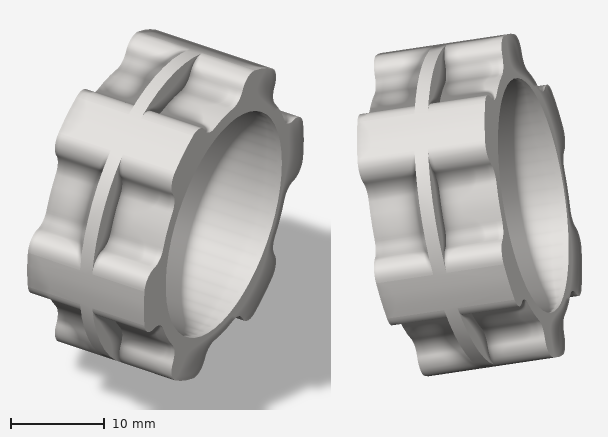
import cadquery as cq
import math

outer_radius = 17.45
bore_radius = 12.68
ring_width = 14.28

pocket_count = 6
floor_radius = 14.25
blend_radius = 2.03
floor_half_angle = math.radians(8.2)
rib_width = 1.5
pocket_width = (ring_width - rib_width) / 2
cutter_clearance = 1.75

floor_blend_distance = floor_radius + blend_radius
rim_blend_distance = outer_radius - blend_radius

blend_angle = math.acos(
    (floor_blend_distance**2 + rim_blend_distance**2 - (2 * blend_radius) ** 2)
    / (2 * floor_blend_distance * rim_blend_distance)
)
rim_half_angle = floor_half_angle + blend_angle


def polar(radius, angle):
    """Point at an angle measured from the pocket centre line, which is the local y axis."""
    return (radius * math.sin(angle), radius * math.cos(angle))


def midpoint(first, second):
    return ((first[0] + second[0]) / 2, (first[1] + second[1]) / 2)


def blend_middle(centre, start, end):
    """Middle point of the blend arc from start to end about centre."""
    chord_middle = midpoint(start, end)
    offset = (chord_middle[0] - centre[0], chord_middle[1] - centre[1])
    stretch = blend_radius / math.hypot(*offset)
    return (centre[0] + offset[0] * stretch, centre[1] + offset[1] * stretch)


def mirrored(point):
    return (-point[0], point[1])


def make_pocket_cutter(start_x):
    """Cutter for the top pocket, spanning pocket_width along X from start_x."""
    floor_end = polar(floor_radius, floor_half_angle)
    rim_end = polar(outer_radius, rim_half_angle)
    floor_blend_centre = polar(floor_blend_distance, floor_half_angle)
    rim_blend_centre = polar(rim_blend_distance, rim_half_angle)
    blend_joint = midpoint(floor_blend_centre, rim_blend_centre)
    floor_blend_middle = blend_middle(floor_blend_centre, floor_end, blend_joint)
    rim_blend_middle = blend_middle(rim_blend_centre, blend_joint, rim_end)
    outside_corner = polar(outer_radius + cutter_clearance, rim_half_angle)

    return (
        cq.Workplane("YZ", origin=(start_x, 0, 0))
        .moveTo(*mirrored(floor_end))
        .threePointArc((0, floor_radius), floor_end)
        .threePointArc(floor_blend_middle, blend_joint)
        .threePointArc(rim_blend_middle, rim_end)
        .lineTo(*outside_corner)
        .threePointArc((0, outer_radius + cutter_clearance), mirrored(outside_corner))
        .lineTo(*mirrored(rim_end))
        .threePointArc(mirrored(rim_blend_middle), mirrored(blend_joint))
        .threePointArc(mirrored(floor_blend_middle), mirrored(floor_end))
        .close()
        .extrude(pocket_width)
    )


result = (
    cq.Workplane("YZ", origin=(-ring_width / 2, 0, 0))
    .circle(outer_radius)
    .circle(bore_radius)
    .extrude(ring_width)
)

for start_x in (-ring_width / 2, rib_width / 2):
    pocket_cutter = make_pocket_cutter(start_x)
    for index in range(pocket_count):
        turn = index * 360 / pocket_count
        result = result.cut(pocket_cutter.rotate((0, 0, 0), (1, 0, 0), turn))